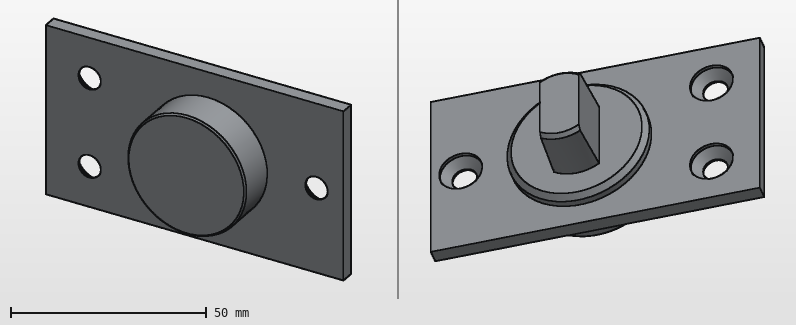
import cadquery as cq

PLATE_LENGTH = 88.0
PLATE_HEIGHT = 50.0
PLATE_THICKNESS = 4.0

MOUNT_HOLE_DIAMETER = 6.6
PAIR_END_DISTANCE = 12.9
PAIR_SPACING = 26.05
SINGLE_END_DISTANCE = 8.0

COUNTERSINK_DIAMETER = 11.5
STRAIGHT_BORE_DEPTH = 0.5

PLUG_X = 4.0
BOSS_RADIUS = 17.5
BOSS_PROJECTION = 11.1
BOSS_CHAMFER = 0.5
FLANGE_RADIUS = 19.0
FLANGE_THICKNESS = 3.4
FLANGE_CHAMFER = 1.5
TAB_LENGTH = 15.05
TAB_BASE_RADIUS = 11.2
TAB_TIP_RADIUS = 10.8
TAB_TIP_CHAMFER = 1.1
TAB_BASE_WIDTH = 12.1
TAB_TIP_WIDTH = 10.4

FLANGE_BACK = PLATE_THICKNESS + FLANGE_THICKNESS
TAB_TIP = FLANGE_BACK + TAB_LENGTH


def cylinder_along_y(radius, start, length):
    """Cylinder on the plug axis, running towards +Y from the given start."""
    axis_start = cq.Vector(PLUG_X, start, 0)
    return cq.Workplane(cq.Solid.makeCylinder(radius, length, axis_start, cq.Vector(0, 1, 0)))


def make_hole_cutter():
    """Stepped shape of one countersunk hole, on the Y axis."""
    bore_radius = MOUNT_HOLE_DIAMETER / 2
    wide_radius = COUNTERSINK_DIAMETER / 2
    cone_end = STRAIGHT_BORE_DEPTH + wide_radius - bore_radius
    return (
        cq.Workplane("XY")
        .lineTo(bore_radius, 0)
        .lineTo(bore_radius, STRAIGHT_BORE_DEPTH)
        .lineTo(wide_radius, cone_end)
        .lineTo(wide_radius, PLATE_THICKNESS)
        .lineTo(0, PLATE_THICKNESS)
        .close()
        .revolve(360, (0, 0, 0), (0, 1, 0))
    )


def make_plate():
    plate = cq.Workplane().box(
        PLATE_LENGTH, PLATE_THICKNESS, PLATE_HEIGHT, centered=(True, False, True)
    )
    pair_x = -PLATE_LENGTH / 2 + PAIR_END_DISTANCE
    single_x = PLATE_LENGTH / 2 - SINGLE_END_DISTANCE
    hole_centres = [(pair_x, PAIR_SPACING / 2), (pair_x, -PAIR_SPACING / 2), (single_x, 0)]
    for x, z in hole_centres:
        plate = plate.cut(make_hole_cutter().translate((x, 0, z)))
    boss_hole = cylinder_along_y(BOSS_RADIUS, 0, PLATE_THICKNESS)
    return plate.cut(boss_hole)


def make_tab():
    """Slightly conical stub with a chamfered tip, cut by two converging flats."""
    stub = (
        cq.Workplane("XY")
        .moveTo(0, FLANGE_BACK)
        .lineTo(TAB_BASE_RADIUS, FLANGE_BACK)
        .lineTo(TAB_TIP_RADIUS, TAB_TIP - TAB_TIP_CHAMFER)
        .lineTo(TAB_TIP_RADIUS - TAB_TIP_CHAMFER, TAB_TIP)
        .lineTo(0, TAB_TIP)
        .close()
        .revolve(360, (0, 0, 0), (0, 1, 0))
    )
    wedge = (
        cq.Workplane("XY")
        .moveTo(-TAB_BASE_WIDTH / 2, FLANGE_BACK)
        .lineTo(TAB_BASE_WIDTH / 2, FLANGE_BACK)
        .lineTo(TAB_TIP_WIDTH / 2, TAB_TIP)
        .lineTo(-TAB_TIP_WIDTH / 2, TAB_TIP)
        .close()
        .extrude(TAB_BASE_RADIUS, both=True)
    )
    return stub.intersect(wedge).translate((PLUG_X, 0, 0))


def make_plug():
    boss = cylinder_along_y(BOSS_RADIUS, -BOSS_PROJECTION, BOSS_PROJECTION + PLATE_THICKNESS)
    boss = boss.faces("<Y").chamfer(BOSS_CHAMFER)
    flange = cylinder_along_y(FLANGE_RADIUS, PLATE_THICKNESS, FLANGE_THICKNESS)
    flange = flange.faces(">Y").chamfer(FLANGE_CHAMFER)
    return boss.union(flange).union(make_tab())


plate = make_plate()
plug = make_plug()

result = cq.Compound.makeCompound([plate.solids().val(), plug.solids().val()])